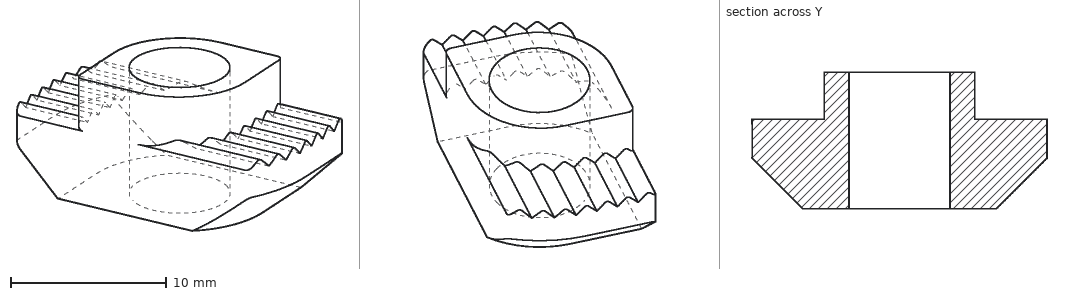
import cadquery as cq
import math

length = 19.0
width = 9.7
height = 8.8
wing_height = 5.78
taper_height = 3.27
corner_radius = 0.48
boss_arc_radius = 5.0
hole_diameter = 6.5
tooth_count = 7
crest_span = 8.4
crest_radius = 0.19

half_length = length / 2
half_width = width / 2
base_half_length = half_length - taper_height
tooth_pitch = crest_span / (tooth_count - 1)


def rounded_on_two_sides(half_x, arc_radius, arc_center_y, tall):
    """Prism with a square (-X, -Y) corner and an arc at (+X, -Y), repeated by a half turn."""
    arc_center_x = half_x - arc_radius
    arc_drop = half_width + arc_center_y
    start_angle = -math.asin(min(1, arc_drop / arc_radius))
    start_x = arc_center_x + arc_radius * math.cos(start_angle)
    middle_x = arc_center_x + arc_radius * math.cos(start_angle / 2)
    middle_y = arc_center_y + arc_radius * math.sin(start_angle / 2)
    return (
        cq.Workplane("XY")
        .moveTo(-half_x, -half_width)
        .lineTo(start_x, -half_width)
        .threePointArc((middle_x, middle_y), (half_x, arc_center_y))
        .lineTo(half_x, half_width)
        .lineTo(-start_x, half_width)
        .threePointArc((-middle_x, -middle_y), (-half_x, -arc_center_y))
        .close()
        .extrude(tall)
    )


def tapered_blank():
    """Cone and cylinder of revolution, with straight tapers filling two opposite quadrants."""
    profile_points = [
        (0, 0),
        (base_half_length, 0),
        (half_length, taper_height),
        (half_length, wing_height),
        (0, wing_height),
    ]
    turned = cq.Workplane("XZ").polyline(profile_points).close().revolve(360, (0, 0, 0), (0, 1, 0))
    straight = cq.Workplane("XZ").polyline(profile_points).close().extrude(-half_width)
    opposite = straight.rotate((0, 0, 0), (0, 0, 1), 180)
    return turned.union(straight).union(opposite)


def toothed_prism():
    """Full-length bar whose top carries 90 degree teeth with rounded crests."""
    flank_run = tooth_pitch / 2 - crest_radius * math.sin(math.pi / 4)
    crest_drop = crest_radius * (1 - math.cos(math.pi / 4))
    flank_top = wing_height - crest_drop
    valley = flank_top - flank_run
    profile = cq.Workplane("YZ").moveTo(-half_width, 0).lineTo(-half_width, valley)
    for tooth in range(tooth_count):
        y = -half_width + tooth * tooth_pitch
        profile = (
            profile.lineTo(y + flank_run, flank_top)
            .threePointArc((y + tooth_pitch / 2, wing_height), (y + tooth_pitch - flank_run, flank_top))
            .lineTo(y + tooth_pitch, valley)
        )
    end_y = -half_width + tooth_count * tooth_pitch
    return profile.lineTo(end_y, 0).close().extrude(half_length, both=True)


def wings():
    outline = rounded_on_two_sides(half_length, half_length, 0, wing_height)
    outline = outline.faces("<Y or >Y").edges("|Z").fillet(corner_radius)
    return outline.intersect(tapered_blank()).intersect(toothed_prism())


def boss():
    arc_offset = boss_arc_radius - half_width
    outline = rounded_on_two_sides(half_width, boss_arc_radius, arc_offset, height - taper_height)
    outline = outline.edges("|Z and (<(1, 1, 0) or >(1, 1, 0))").fillet(corner_radius)
    return outline.translate((0, 0, taper_height))


hole = cq.Workplane("XY").circle(hole_diameter / 2).extrude(height)
result = wings().union(boss()).cut(hole)